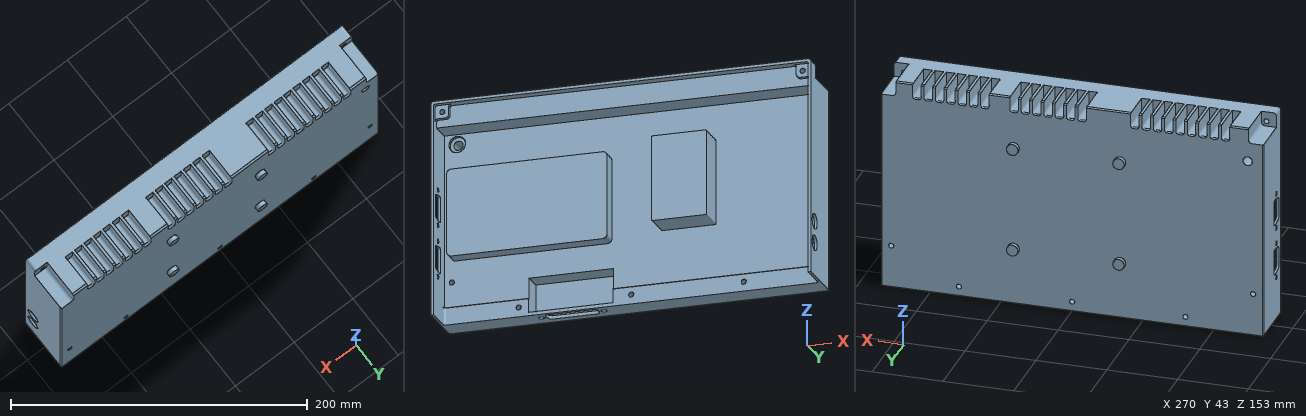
import cadquery as cq

WIDTH = 270.0
HEIGHT = 153.0
STUD_LENGTH = 3.2
DEPTH = 43.0 - STUD_LENGTH
SIDE_WALL = 2.0
TOP_LIP = 2.2
CORNER_RADIUS = 2.2
BACK_BEVEL_LENGTH = 1.5
BACK_BEVEL_DROP = 0.5

RECESS_DEPTH = 23.2
BEAM_HEIGHT = 17.0
BEAM_SETBACK = 6.5
INNER_RADIUS = 1.5
LEDGE_HEIGHT = 12.5
LEDGE_STEP = 1.0
LEDGE_FILLET = 2.2
LEDGE_FRONT = RECESS_DEPTH - LEDGE_STEP

NOTCH_SIZE = 10.5
NOTCH_FRONT = 10.3
NOTCH_FILLET = 2.7
LUG_SIZE = 11.5
LUG_FRONT = 3.5
LUG_RADIUS = 2.7
LUG_BLEND = 1.5

SLOT_WIDTH = 6.0
EIGHT_PITCHES = 64.0
SLOT_PITCH = EIGHT_PITCHES / 8
SLOT_DEPTH = NOTCH_SIZE
SLOT_FRONT = 14.8
SLOT_FILLET = 2.2
SLOT_GROUPS = [(23.8, 9), (125.0, 7), (193.5, 7)]

PAD_LEFT, PAD_RIGHT = 7.0, 121.0
PAD_BOTTOM, PAD_TOP = 45.5, 108.0
PAD_FRONT = 13.0
PAD_RADIUS = 3.2
BLOCK_LEFT, BLOCK_RIGHT = 156.0, 195.0
BLOCK_BOTTOM, BLOCK_TOP = 50.5, 111.2
BLOCK_FRONT = 2.5
BLOCK_RADIUS = 0.8

POCKET_LEFT, POCKET_RIGHT = 62.0, 122.0
POCKET_TOP = 27.3
POCKET_FLOOR = 2.5
POCKET_BACK = 37.5

D_SLANT = 1.5
D_RADIUS = 2.2
D_SCREW_MARGIN = 3.0
SIDE_D_LENGTH = 19.5
SIDE_D_WIDTH = 10.8
SIDE_D_SCREW_DIAMETER = 3.0
SIDE_D_Y = 10.0
SIDE_D_HEIGHTS = [43.5, 80.2]
BOTTOM_D_LENGTH = 38.3
BOTTOM_D_WIDTH = 9.0
BOTTOM_D_SCREW_DIAMETER = 4.0
BOTTOM_D_X = 91.3
BOTTOM_D_Y = LEDGE_FRONT + 7.0

SCREW_DIAMETER = 3.5
CORNER_SCREW_INSET = 7.0
CORNER_SCREW_DROP = 7.0
SIDE_SCREW_INSET = 7.3
SIDE_SCREW_HEIGHT = 30.5
LEDGE_SCREW_SPACING = 80.0
LEDGE_SCREW_HEIGHT = 6.8
STEPPED_HOLE_X = 11.0
STEPPED_HOLE_Z = HEIGHT - 24.0
STEPPED_HOLE_DIAMETER = 6.5
STEPPED_BORE_DIAMETER = 11.5
STEPPED_BORE_DEPTH = 2.7
CABLE_HOLE_DIAMETER = 10.5
CABLE_HOLE_Y = 8.0
CABLE_HOLE_HEIGHTS = [23.5, 39.0]

STUD_DIAMETER = 8.0
STUD_SPACING = 75.0
STUD_CENTER_X = 138.8
STUD_CENTER_Z = 78.0


def box(x0, x1, y0, y1, z0, z1):
    """Box between two opposite corners."""
    return cq.Workplane("XY").box(x1 - x0, y1 - y0, z1 - z0, centered=False).translate((x0, y0, z0))


def rod(points, diameter, y0, y1):
    """Cylinders along Y at the given (x, z) points."""
    plane = cq.Workplane("XZ", origin=(0, y0, 0))
    return plane.pushPoints(points).circle(diameter / 2).extrude(y0 - y1)


def mirrored(shape):
    """The shape together with its copy on the other side of the casing."""
    return shape.union(shape.mirror("YZ", (WIDTH / 2, 0, 0)))


def make_lugs():
    """Screw lugs in the upper corners, blended into the top lip and the side walls."""
    top = HEIGHT - TOP_LIP
    low = HEIGHT - LUG_SIZE
    flare_top = LUG_SIZE + LUG_BLEND
    lug = (
        cq.Workplane("XZ", origin=(0, LUG_FRONT, 0))
        .moveTo(0, HEIGHT)
        .lineTo(flare_top, HEIGHT)
        .lineTo(flare_top, top)
        .radiusArc((LUG_SIZE, top - LUG_BLEND), -LUG_BLEND)
        .lineTo(LUG_SIZE, low + LUG_RADIUS)
        .radiusArc((LUG_SIZE - LUG_RADIUS, low), LUG_RADIUS)
        .lineTo(SIDE_WALL + LUG_BLEND, low)
        .radiusArc((SIDE_WALL, low - LUG_BLEND), -LUG_BLEND)
        .lineTo(0, low - LUG_BLEND)
        .close()
        .extrude(LUG_FRONT - NOTCH_FRONT)
    )
    return mirrored(lug)


def make_casing():
    shell = box(0, WIDTH, 0, DEPTH, 0, HEIGHT)
    shell = shell.edges("|Y and >Z").fillet(CORNER_RADIUS)
    shell = shell.faces(">Y").edges(">Z").chamfer(BACK_BEVEL_DROP, BACK_BEVEL_LENGTH)

    inner_right = WIDTH - SIDE_WALL
    beam_bottom = HEIGHT - BEAM_HEIGHT
    recess = box(SIDE_WALL, inner_right, 0, RECESS_DEPTH, LEDGE_HEIGHT, beam_bottom)
    beam_recess = box(SIDE_WALL, inner_right, 0, BEAM_SETBACK, LEDGE_HEIGHT, HEIGHT - TOP_LIP)
    beam_recess = beam_recess.edges("|Y and >Z").fillet(INNER_RADIUS).cut(make_lugs())
    ledge_recess = box(SIDE_WALL, inner_right, 0, LEDGE_FRONT, 0, LEDGE_HEIGHT)
    ledge_recess = ledge_recess.edges("|Z and >Y").fillet(LEDGE_FILLET)
    return shell.cut(recess).cut(beam_recess).cut(ledge_recess)


def make_notches():
    """Outside notches behind the lugs, each with a rounded inner corner."""
    notch = box(0, NOTCH_SIZE, NOTCH_FRONT, DEPTH, HEIGHT - NOTCH_SIZE, HEIGHT)
    return mirrored(notch.edges("|Y and >X and <Z").fillet(NOTCH_FILLET))


def make_slot():
    """One slot at X = 0 with a rounded floor that drops away at the back edge."""
    floor = HEIGHT - SLOT_DEPTH
    slot = box(0, SLOT_WIDTH, SLOT_FRONT, DEPTH, floor, HEIGHT)
    slot = slot.edges("|Y and <Z").fillet(SLOT_FILLET)
    profile = slot.faces(">Y").wires().val()
    bevel = cq.Solid.makeLoft(
        [
            profile.translate(cq.Vector(0, -BACK_BEVEL_LENGTH, 0)),
            profile.translate(cq.Vector(0, 0, -BACK_BEVEL_DROP)),
        ],
        True,
    )
    return slot.union(cq.Workplane(bevel))


def cut_slots(body):
    slot = make_slot()
    for first_x, count in SLOT_GROUPS:
        for index in range(count):
            body = body.cut(slot.translate((first_x + index * SLOT_PITCH, 0, 0)))
    return body


def make_pads():
    pad = box(PAD_LEFT, PAD_RIGHT, PAD_FRONT, RECESS_DEPTH, PAD_BOTTOM, PAD_TOP)
    pad = pad.edges("|Y").fillet(PAD_RADIUS)
    block = box(BLOCK_LEFT, BLOCK_RIGHT, BLOCK_FRONT, RECESS_DEPTH, BLOCK_BOTTOM, BLOCK_TOP)
    return pad.union(block.edges("|Y").fillet(BLOCK_RADIUS))


def make_d_opening(length, width, screw_diameter, depth):
    """D-shaped cutter with its two screw holes: long along X, narrow side toward -Y, cut along Z."""
    half_length = length / 2
    half_width = width / 2
    opening = (
        cq.Workplane("XY")
        .polyline([
            (-half_length, half_width),
            (half_length, half_width),
            (half_length - D_SLANT, -half_width),
            (-half_length + D_SLANT, -half_width),
        ])
        .close()
        .extrude(depth)
        .edges("|Z")
        .fillet(D_RADIUS)
    )
    screw_x = half_length + D_SCREW_MARGIN
    screws = cq.Workplane("XY").pushPoints([(-screw_x, 0), (screw_x, 0)])
    return opening.union(screws.circle(screw_diameter / 2).extrude(depth))


def make_side_openings():
    opening = make_d_opening(SIDE_D_LENGTH, SIDE_D_WIDTH, SIDE_D_SCREW_DIAMETER, SIDE_WALL)
    opening = opening.rotate((0, 0, 0), (0, 1, 0), 90)
    low, high = [opening.translate((0, SIDE_D_Y, z)) for z in SIDE_D_HEIGHTS]
    return low.union(high)


def make_connector_pocket():
    pocket = box(POCKET_LEFT, POCKET_RIGHT, 0, POCKET_BACK, POCKET_FLOOR, POCKET_TOP)
    opening = make_d_opening(BOTTOM_D_LENGTH, BOTTOM_D_WIDTH, BOTTOM_D_SCREW_DIAMETER, POCKET_FLOOR)
    opening = opening.rotate((0, 0, 0), (0, 0, 1), 180)
    return pocket.union(opening.translate((BOTTOM_D_X, BOTTOM_D_Y, 0)))


def make_screw_holes():
    center_x = WIDTH / 2
    points = [(center_x + side * LEDGE_SCREW_SPACING, LEDGE_SCREW_HEIGHT) for side in (-1, 0, 1)]
    for inset, z in [
        (CORNER_SCREW_INSET, HEIGHT - CORNER_SCREW_DROP),
        (SIDE_SCREW_INSET, SIDE_SCREW_HEIGHT),
    ]:
        points += [(inset, z), (WIDTH - inset, z)]
    return rod(points, SCREW_DIAMETER, 0, DEPTH)


def make_stepped_hole():
    point = [(STEPPED_HOLE_X, STEPPED_HOLE_Z)]
    bore = rod(point, STEPPED_BORE_DIAMETER, RECESS_DEPTH, RECESS_DEPTH + STEPPED_BORE_DEPTH)
    return bore.union(rod(point, STEPPED_HOLE_DIAMETER, RECESS_DEPTH, DEPTH))


def make_cable_holes():
    points = [(CABLE_HOLE_Y, z) for z in CABLE_HOLE_HEIGHTS]
    plane = cq.Workplane("YZ", origin=(WIDTH - SIDE_WALL, 0, 0))
    return plane.pushPoints(points).circle(CABLE_HOLE_DIAMETER / 2).extrude(SIDE_WALL)


def make_studs():
    half = STUD_SPACING / 2
    points = [(STUD_CENTER_X + i * half, STUD_CENTER_Z + j * half) for i in (-1, 1) for j in (-1, 1)]
    return rod(points, STUD_DIAMETER, DEPTH, DEPTH + STUD_LENGTH)


body = make_casing().cut(make_notches())
body = cut_slots(body)
body = body.union(make_pads()).cut(make_connector_pocket())
body = body.cut(make_side_openings()).cut(make_cable_holes())
body = body.cut(make_screw_holes()).cut(make_stepped_hole())
result = body.union(make_studs())